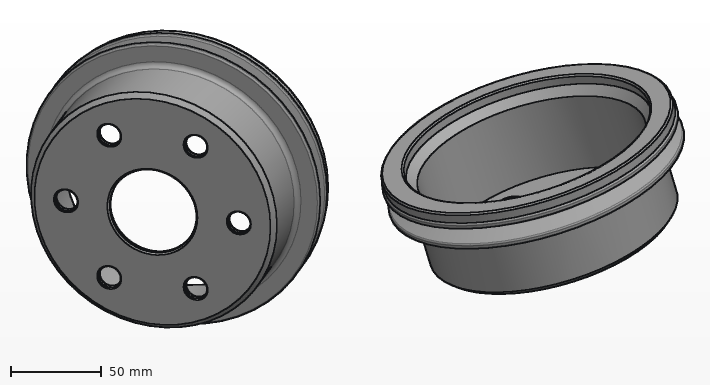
import cadquery as cq
import math

total_depth = 60.0

rim_radius = 84.5
rim_round = 1.0
lip_radius = rim_radius - rim_round
lip_chamfer = 1.0
lip_end = 5.9
flange_end = 22.1
groove_middle = 14.0
groove_bottom_radius = 71.7
groove_bottom_round = 1.0
groove_flank_angle = math.radians(18)

hub_radius = 142.0 / 2
hub_fillet = 3.0
hub_chamfer = 2.9

cavity_radius = 131.0 / 2
web_thickness = 4.0
mouth_radius = 141.0 / 2
mouth_depth = 5.7
mouth_taper_length = mouth_radius - cavity_radius
mouth_chamfer = 1.0

bore_radius = 50.0 / 2
bore_chamfer = 1.0
bolt_hole_radius = 12.7 / 2
bolt_hole_chamfer = 0.7
bolt_circle_radius = 49.9
bolt_hole_count = 6


def revolve_about_y(profile):
    """Turn a closed (radius, depth) profile and put depth zero on the rear face."""
    turned = profile.close().revolve(360, (0, 0, 0), (0, 1, 0))
    return turned.mirror("XZ").translate((0, total_depth / 2, 0))


def outer_body():
    sine = math.sin(groove_flank_angle)
    cosine = math.cos(groove_flank_angle)
    flank_inner_radius = groove_bottom_radius + groove_bottom_round * (1 - sine)
    flank_outer_radius = rim_radius - rim_round * (1 - sine)
    flank_inner_offset = groove_bottom_round * cosine
    flank_height = flank_outer_radius - flank_inner_radius
    flank_outer_offset = flank_inner_offset + flank_height * math.tan(groove_flank_angle)
    land_offset = flank_outer_offset + rim_round * cosine

    half_angle = (math.pi / 2 - groove_flank_angle) / 2
    round_middle_radius = rim_radius - rim_round * (1 - math.cos(half_angle))
    round_middle_offset = land_offset - rim_round * math.sin(half_angle)

    quarter_setback = 1 - math.sqrt(0.5)
    rim_setback = rim_round * quarter_setback
    fillet_setback = hub_fillet * quarter_setback

    profile = (
        cq.Workplane("XY")
        .lineTo(lip_radius - lip_chamfer, 0)
        .lineTo(lip_radius, lip_chamfer)
        .lineTo(lip_radius, lip_end)
        .threePointArc(
            (rim_radius - rim_setback, lip_end + rim_setback),
            (rim_radius, lip_end + rim_round),
        )
        .lineTo(rim_radius, groove_middle - land_offset)
        .threePointArc(
            (round_middle_radius, groove_middle - round_middle_offset),
            (flank_outer_radius, groove_middle - flank_outer_offset),
        )
        .lineTo(flank_inner_radius, groove_middle - flank_inner_offset)
        .threePointArc(
            (groove_bottom_radius, groove_middle),
            (flank_inner_radius, groove_middle + flank_inner_offset),
        )
        .lineTo(flank_outer_radius, groove_middle + flank_outer_offset)
        .threePointArc(
            (round_middle_radius, groove_middle + round_middle_offset),
            (rim_radius, groove_middle + land_offset),
        )
        .lineTo(rim_radius, flange_end - rim_round)
        .threePointArc(
            (rim_radius - rim_setback, flange_end - rim_setback),
            (rim_radius - rim_round, flange_end),
        )
        .lineTo(hub_radius + hub_fillet, flange_end)
        .threePointArc(
            (hub_radius + fillet_setback, flange_end + fillet_setback),
            (hub_radius, flange_end + hub_fillet),
        )
        .lineTo(hub_radius, total_depth - hub_chamfer)
        .lineTo(hub_radius - hub_chamfer, total_depth)
        .lineTo(0, total_depth)
    )
    return revolve_about_y(profile)


def cavity():
    cavity_depth = total_depth - web_thickness
    profile = (
        cq.Workplane("XY")
        .lineTo(mouth_radius + mouth_chamfer, 0)
        .lineTo(mouth_radius, mouth_chamfer)
        .lineTo(mouth_radius, mouth_depth)
        .lineTo(cavity_radius, mouth_depth + mouth_taper_length)
        .lineTo(cavity_radius, cavity_depth)
        .lineTo(0, cavity_depth)
    )
    return revolve_about_y(profile)


def web_opening(radius, chamfer):
    """Cutter on the axis for a round opening chamfered on both faces of the web."""
    web_rear = total_depth - web_thickness
    profile = (
        cq.Workplane("XY")
        .moveTo(0, web_rear)
        .lineTo(radius + chamfer, web_rear)
        .lineTo(radius, web_rear + chamfer)
        .lineTo(radius, total_depth - chamfer)
        .lineTo(radius + chamfer, total_depth)
        .lineTo(0, total_depth)
    )
    return revolve_about_y(profile)


result = outer_body().cut(cavity()).cut(web_opening(bore_radius, bore_chamfer))

bolt_hole = web_opening(bolt_hole_radius, bolt_hole_chamfer).translate((bolt_circle_radius, 0, 0))
for index in range(bolt_hole_count):
    angle = index * 360 / bolt_hole_count
    result = result.cut(bolt_hole.rotate((0, 0, 0), (0, 1, 0), angle))